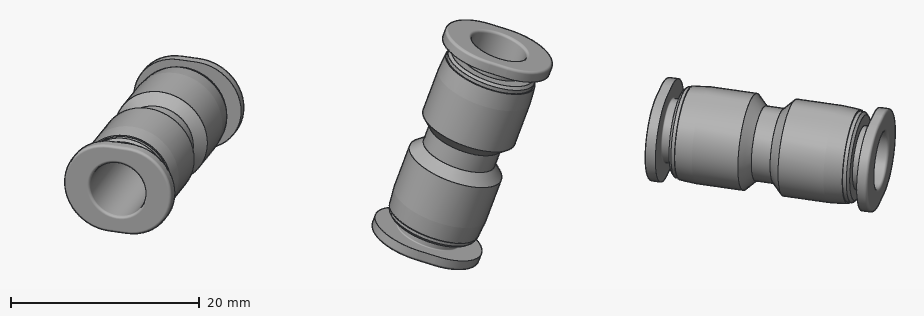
import cadquery as cq

half_length = 12.2

flange_radius = 5.0
flange_width = 12.0
flange_thickness = 1.2
flange_edge_radius = 0.3
neck_radius = 3.45
neck_root_radius = 0.12

body_radius = 5.2
shoulder_radius = 5.03
end_ring_radius = 4.88
end_ring_chamfer = 0.3
waist_radius = 4.03
waist_half_length = 1.02
taper_bulge = 0.02
body_end = half_length - 2.32
shoulder_y = half_length - 3.03
taper_start = half_length - 5.0
cone_end = waist_half_length + body_radius - waist_radius

bore_radius = 3.1
bore_mouth_radius = 0.3
bore_depth = half_length - waist_half_length


def make_half_body():
    """Revolve the outer profile of the +Y half, from waist to neck."""
    taper_middle = (
        (body_radius + shoulder_radius) / 2 + taper_bulge,
        (taper_start + shoulder_y) / 2,
    )
    flange_inner_y = half_length - flange_thickness
    profile = (
        cq.Workplane("XY")
        .lineTo(waist_radius, 0)
        .lineTo(waist_radius, waist_half_length)
        .lineTo(body_radius, cone_end)
        .lineTo(body_radius, taper_start)
        .threePointArc(taper_middle, (shoulder_radius, shoulder_y))
        .lineTo(end_ring_radius, shoulder_y)
        .lineTo(end_ring_radius, body_end - end_ring_chamfer)
        .lineTo(end_ring_radius - end_ring_chamfer, body_end)
        .lineTo(neck_radius, body_end)
        .lineTo(neck_radius, flange_inner_y - neck_root_radius)
        .radiusArc((neck_radius + neck_root_radius, flange_inner_y), neck_root_radius)
        .lineTo(neck_radius + neck_root_radius, half_length - flange_thickness / 2)
        .lineTo(0, half_length - flange_thickness / 2)
        .close()
    )
    return profile.revolve(360, (0, 0, 0), (0, 1, 0))


def make_flange():
    """Obround flange with its outer face at +Y and a rounded outer edge."""
    return (
        cq.Workplane("XZ", origin=(0, half_length, 0))
        .slot2D(flange_width, 2 * flange_radius)
        .extrude(flange_thickness)
        .faces(">Y")
        .edges()
        .fillet(flange_edge_radius)
    )


def make_socket():
    """Blind bore with a rounded mouth, as a solid to cut from the +Y end."""
    profile = (
        cq.Workplane("XY")
        .moveTo(0, half_length - bore_depth)
        .lineTo(bore_radius, half_length - bore_depth)
        .lineTo(bore_radius, half_length - bore_mouth_radius)
        .radiusArc((bore_radius + bore_mouth_radius, half_length), bore_mouth_radius)
        .lineTo(0, half_length)
        .close()
    )
    return profile.revolve(360, (0, 0, 0), (0, 1, 0))


half_union = make_half_body().union(make_flange()).cut(make_socket())
result = half_union.union(half_union.rotate((0, 0, 0), (1, 0, 0), 180), clean=True)